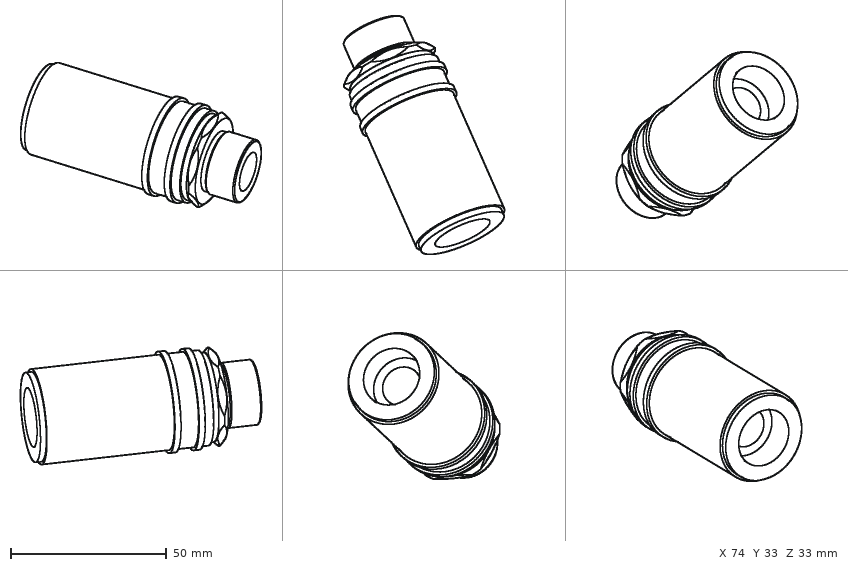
import cadquery as cq
import math

total_length = 74.0
lip_length = 1.9
band_width = 2.0
band_starts = (43.95, 51.95)
body_end = 57.0
nut_start = 58.9
nut_end = 62.0
spigot_start = 63.65

lip_diameter = 29.15
body_diameter = 31.0
band_diameter = 33.0
collar_diameter = 29.15
neck_diameter = 20.35
spigot_diameter = 21.25
spigot_chamfer = (spigot_diameter - neck_diameter) / 2

nut_across_flats = 29.15
nut_ridge_diameter = 32.0
nut_face_diameter = 28.85

socket_diameter = 19.2
socket_depth = 10.0
through_diameter = 13.0


def cylinder(diameter, start, end):
    """Solid cylinder on the X axis between two stations."""
    return cq.Workplane("YZ", origin=(start, 0, 0)).circle(diameter / 2).extrude(end - start)


def hex_nut():
    """Hexagon with flats facing +Z and -Z, trimmed by two cones that meet at mid width."""
    nut_width = nut_end - nut_start
    across_corners = nut_across_flats / math.cos(math.pi / 6)
    hexagon = cq.Workplane("YZ", origin=(nut_start, 0, 0)).polygon(6, across_corners).extrude(nut_width)
    double_cone = (
        cq.Workplane("XY")
        .moveTo(nut_start, 0)
        .lineTo(nut_start, nut_face_diameter / 2)
        .lineTo(nut_start + nut_width / 2, nut_ridge_diameter / 2)
        .lineTo(nut_end, nut_face_diameter / 2)
        .lineTo(nut_end, 0)
        .close()
        .revolve(360, (0, 0, 0), (1, 0, 0))
    )
    return hexagon.intersect(double_cone)


def spigot():
    """Raised end cylinder, chamfered at both ends down to the neck diameter."""
    return cylinder(spigot_diameter, spigot_start, total_length).edges("%CIRCLE").chamfer(spigot_chamfer)


sleeve = cylinder(lip_diameter, 0, lip_length).union(cylinder(body_diameter, lip_length, body_end))
for band_start in band_starts:
    sleeve = sleeve.union(cylinder(band_diameter, band_start, band_start + band_width))

connection = cylinder(collar_diameter, body_end, nut_start).union(hex_nut())
connection = connection.union(cylinder(neck_diameter, nut_end, spigot_start)).union(spigot())

result = (
    sleeve.union(connection)
    .cut(cylinder(socket_diameter, 0, socket_depth))
    .cut(cylinder(through_diameter, 0, total_length))
)